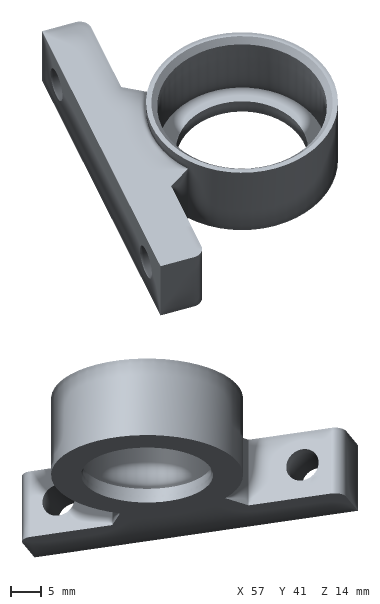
import cadquery as cq

plate_length = 57.0
plate_thickness = 8.0
plate_height = 12.0
corner_radius = 2.0
screw_hole_diameter = 5.7
screw_hole_spacing = 43.0

overall_depth = 41.0
ring_diameter = 32.0
ring_height = 14.0
pocket_diameter = 28.3
through_diameter = 22.0
floor_thickness = 2.5
rim_chamfer = 0.95
ring_center_y = overall_depth - ring_diameter / 2

neck_base_width = 24.05
neck_ring_width = 18.6
neck_ring_y = 11.95


def make_plate():
    plate = cq.Workplane("XY").box(
        plate_length, plate_thickness, plate_height, centered=(True, False, False)
    )
    return plate.edges("|Z and >Y").fillet(corner_radius)


def make_neck():
    return (
        cq.Workplane("XY")
        .moveTo(-neck_base_width / 2, plate_thickness)
        .lineTo(neck_base_width / 2, plate_thickness)
        .lineTo(neck_ring_width / 2, neck_ring_y)
        .lineTo(0, ring_center_y)
        .lineTo(-neck_ring_width / 2, neck_ring_y)
        .close()
        .extrude(plate_height)
    )


def cylinder(diameter, bottom, top):
    return (
        cq.Workplane("XY", origin=(0, ring_center_y, bottom))
        .circle(diameter / 2)
        .extrude(top - bottom)
    )


def make_bore():
    """Through opening, stepped bearing pocket and the chamfer at its mouth."""
    opening = cylinder(through_diameter, 0, ring_height)
    pocket = cylinder(pocket_diameter, floor_thickness, ring_height)
    mouth = (
        cq.Workplane("XY", origin=(0, ring_center_y, ring_height - rim_chamfer))
        .circle(pocket_diameter / 2)
        .workplane(offset=rim_chamfer)
        .circle(pocket_diameter / 2 + rim_chamfer)
        .loft()
    )
    return opening.union(pocket).union(mouth)


def make_screw_holes():
    return (
        cq.Workplane("XZ", origin=(0, 0, plate_height / 2))
        .pushPoints([(-screw_hole_spacing / 2, 0), (screw_hole_spacing / 2, 0)])
        .circle(screw_hole_diameter / 2)
        .extrude(-plate_thickness)
    )


ring = cylinder(ring_diameter, 0, ring_height)
body = make_plate().union(make_neck()).union(ring)
result = body.cut(make_bore()).cut(make_screw_holes())